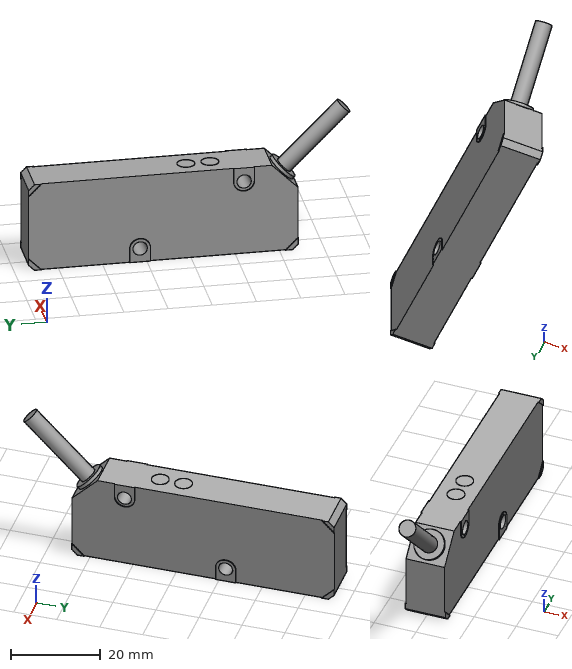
import cadquery as cq
import math

overall_length = 73.5
body_length = 61.0
body_height = 21.0
body_width = 9.2
pad_height = 0.2
corner_chamfer = 1.3
cable_chamfer = 5.95

corner_pad_leg = 2.9
hole_pad_diameter = 4.7

hole_diameter = 3.2
hole_edge_distance = 3.3
lower_hole_y = 35.8
upper_hole_y = 12.3

window_diameter = 4.0
window_depth = 0.1
window_positions_y = (19.1, 24.55)

collar_diameter = 7.0
collar_length = 0.8
cable_diameter = 3.9
cable_angle = math.radians(45)
cable_overhang = overall_length - body_length
cable_length = (cable_overhang + cable_chamfer / 2) / math.cos(cable_angle) - cable_diameter / 2

pad_span = body_width + 2 * pad_height


def across(outline, width):
    """Extrude a YZ outline symmetrically about the middle plane."""
    return outline.extrude(width / 2, both=True)


def make_body():
    c = corner_chamfer
    points = [
        (c, 0),
        (body_length - c, 0),
        (body_length, c),
        (body_length, body_height - c),
        (body_length - c, body_height),
        (cable_chamfer, body_height),
        (0, body_height - cable_chamfer),
        (0, c),
    ]
    return across(cq.Workplane("YZ").polyline(points).close(), body_width)


def make_corner_pad(y, z, y_direction, z_direction):
    """Chamfered corner band; the directions point into the housing."""
    distances = [
        (corner_chamfer, 0),
        (corner_pad_leg, 0),
        (0, corner_pad_leg),
        (0, corner_chamfer),
    ]
    points = [(y + a * y_direction, z + b * z_direction) for a, b in distances]
    return across(cq.Workplane("YZ").polyline(points).close(), pad_span)


def make_hole_pad(y, z, edge_z):
    """Pad rounded about the hole and running out to the nearby edge."""
    radius = hole_pad_diameter / 2
    round_end_z = z + math.copysign(radius, z - edge_z)
    outline = (
        cq.Workplane("YZ")
        .moveTo(y - radius, edge_z)
        .lineTo(y - radius, z)
        .threePointArc((y, round_end_z), (y + radius, z))
        .lineTo(y + radius, edge_z)
        .close()
    )
    return across(outline, pad_span)


def make_cable():
    """Collar and cable rising forward from the middle of the large chamfer."""
    origin = (0, cable_chamfer / 2, body_height - cable_chamfer / 2)
    direction = (0, -math.cos(cable_angle), math.sin(cable_angle))
    base = cq.Workplane(cq.Plane(origin=origin, xDir=(1, 0, 0), normal=direction))
    collar = base.circle(collar_diameter / 2).extrude(collar_length)
    cable = base.circle(cable_diameter / 2).extrude(cable_length)
    return collar.union(cable)


result = make_body()

for corner in [
    (0, 0, 1, 1),
    (body_length, 0, -1, 1),
    (body_length, body_height, -1, -1),
]:
    result = result.union(make_corner_pad(*corner))

for hole_y, hole_z, edge_z in [
    (lower_hole_y, hole_edge_distance, 0),
    (upper_hole_y, body_height - hole_edge_distance, body_height),
]:
    result = result.union(make_hole_pad(hole_y, hole_z, edge_z))
    hole = cq.Workplane("YZ").center(hole_y, hole_z).circle(hole_diameter / 2)
    result = result.cut(across(hole, pad_span))

for window_y in window_positions_y:
    window = cq.Workplane("XY", origin=(0, window_y, body_height)).circle(window_diameter / 2)
    result = result.cut(window.extrude(-window_depth))

result = result.union(make_cable())